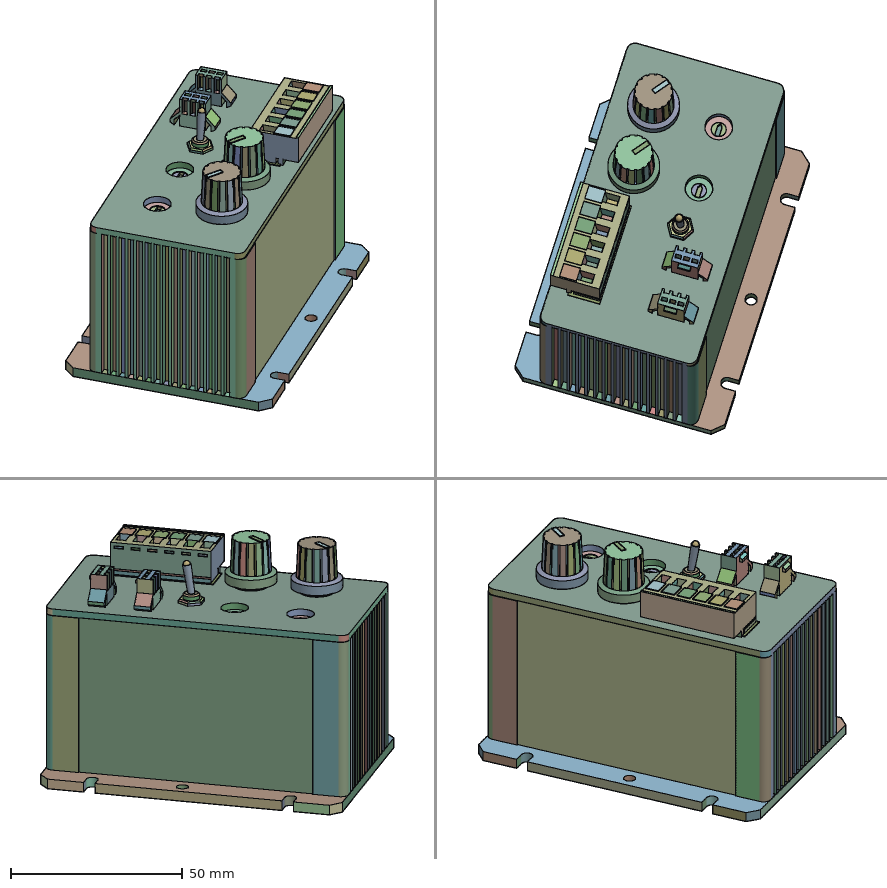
import cadquery as cq
import math

PLATE_X = 64.0
PLATE_Y = 91.3
PLATE_T = 3.0
PLATE_CORNER_X = 3.3
PLATE_CORNER_Y = 3.0
TOTAL_Z = 68.3

SLOT_W = 3.5
SLOT_DEPTH = 4.9
SLOT_Y = 30.0
PLATE_HOLE_D = SLOT_W
PLATE_HOLE_X = 28.0
PLATE_HOLE_Y = 2.9

CASE_X = 48.3
CASE_Y = 91.5
CASE_H = 47.95
CASE_CORNER_R = 2.5
LID_X = 47.8
LID_T = 2.0
SIDE_PANEL_Y = 70.8
SIDE_PANEL_SETBACK = 0.4

FIN_GROOVES = 15
FIN_GROOVE_SPAN = 37.8
FIN_PITCH = FIN_GROOVE_SPAN / (FIN_GROOVES - 1)
FIN_GROOVE_W = 1.8
FIN_GROOVE_DEPTH = 2.3

LID_Z = PLATE_T + CASE_H
TOP = LID_Z + LID_T


def box(x0, x1, y0, y1, z0, z1):
    """Axis-aligned block between opposite corners."""
    return cq.Workplane("XY").box(x1 - x0, y1 - y0, z1 - z0, centered=False).translate((x0, y0, z0))


def mounting_plate():
    hx = PLATE_X / 2
    hy = PLATE_Y / 2
    corner_x = hx - PLATE_CORNER_X
    corner_y = hy - PLATE_CORNER_Y
    outline = [
        (-corner_x, -hy), (corner_x, -hy), (hx, -corner_y), (hx, corner_y),
        (corner_x, hy), (-corner_x, hy), (-hx, corner_y), (-hx, -corner_y),
    ]
    plate = cq.Workplane("XY").polyline(outline).close().extrude(PLATE_T)
    slot_centers = [(sx * hx, sy * SLOT_Y) for sx in (-1, 1) for sy in (-1, 1)]
    slots = cq.Workplane("XY").pushPoints(slot_centers).slot2D(2 * SLOT_DEPTH, SLOT_W).extrude(PLATE_T)
    hole_centers = [(-PLATE_HOLE_X, PLATE_HOLE_Y), (PLATE_HOLE_X, PLATE_HOLE_Y)]
    holes = cq.Workplane("XY").pushPoints(hole_centers).circle(PLATE_HOLE_D / 2).extrude(PLATE_T)
    return plate.cut(slots).cut(holes)


def rounded_block(size_x, size_y, height, z):
    block = cq.Workplane("XY").box(size_x, size_y, height, centered=(True, True, False))
    return block.edges("|Z").fillet(CASE_CORNER_R).translate((0, 0, z))


def case_body():
    case = rounded_block(CASE_X, CASE_Y, CASE_H, PLATE_T)
    for sign in (-1, 1):
        center = (sign * (CASE_X - SIDE_PANEL_SETBACK) / 2, 0, PLATE_T + CASE_H / 2)
        case = case.cut(cq.Workplane("XY").box(SIDE_PANEL_SETBACK, SIDE_PANEL_Y, CASE_H).translate(center))
    first_x = -FIN_GROOVE_SPAN / 2
    centers = [
        (first_x + i * FIN_PITCH, sign * CASE_Y / 2)
        for i in range(FIN_GROOVES)
        for sign in (-1, 1)
    ]
    grooves = cq.Workplane("XY").pushPoints(centers).rect(FIN_GROOVE_W, 2 * FIN_GROOVE_DEPTH).extrude(CASE_H)
    return case.cut(grooves.translate((0, 0, PLATE_T)))


SELECTOR_X = -8.9
SELECTOR_YS = (-7.7, -27.6)
SELECTOR_HOLE_R = 4.0
DIAL_R = 2.2
DIAL_DEPTH = 0.3
ARROW_W = 1.4
ARROW_TAIL = 2.0
ARROW_SHOULDER = 1.1
ARROW_TIP = 2.0
ARROW_DEPTH = 0.9


def selector_cutter():
    """Lid hole, dial recess and arrow-shaped driver slot, with the hole floor at z = 0."""
    hole = cq.Workplane("XY").circle(SELECTOR_HOLE_R).extrude(LID_T)
    dial = cq.Workplane("XY").circle(DIAL_R).extrude(-DIAL_DEPTH)
    arrow_outline = [
        (-ARROW_W / 2, ARROW_TAIL), (ARROW_W / 2, ARROW_TAIL),
        (ARROW_W / 2, -ARROW_SHOULDER), (0, -ARROW_TIP), (-ARROW_W / 2, -ARROW_SHOULDER),
    ]
    arrow = cq.Workplane("XY").polyline(arrow_outline).close().extrude(-DIAL_DEPTH - ARROW_DEPTH)
    return hole.union(dial).union(arrow)


KNOB_X = 10.9
KNOB_YS = (-7.2, -27.2)
KNOB_WASHER_R = 5.0
KNOB_WASHER_T = 0.2
KNOB_NECK_R = 4.8
KNOB_SKIRT_R = 7.6
KNOB_SKIRT_Z = TOP + 1.5
KNOB_SKIRT_T = 2.8
KNOB_SKIRT_SLOPE = 0.55
KNOB_BASE_R = 6.0
KNOB_TOP_R = 5.6
KNOB_GROOVES = 15
KNOB_GROOVE_W = 0.55
KNOB_GROOVE_START = 184
KNOB_GROOVE_FLOOR_R = 5.3
POINTER_W = 1.5
POINTER_T = 0.3
POINTER_LENGTH = 5.3
POINTER_ANGLE = 233


def knob(y):
    skirt_top = KNOB_SKIRT_Z + KNOB_SKIRT_T
    grip_z = skirt_top + KNOB_SKIRT_SLOPE
    cap_z = TOTAL_Z - POINTER_T
    half_profile = [
        (0, TOP), (KNOB_WASHER_R, TOP), (KNOB_WASHER_R, TOP + KNOB_WASHER_T),
        (KNOB_NECK_R, TOP + KNOB_WASHER_T), (KNOB_NECK_R, KNOB_SKIRT_Z),
        (KNOB_SKIRT_R, KNOB_SKIRT_Z), (KNOB_SKIRT_R, skirt_top),
        (KNOB_BASE_R, grip_z), (KNOB_TOP_R, cap_z), (0, cap_z),
    ]
    body = cq.Workplane("XZ").polyline(half_profile).close().revolve(360, (0, 0, 0), (0, 1, 0))
    for i in range(KNOB_GROOVES):
        groove = box(KNOB_GROOVE_FLOOR_R, KNOB_SKIRT_R, -KNOB_GROOVE_W / 2, KNOB_GROOVE_W / 2, grip_z, cap_z)
        body = body.cut(groove.rotate((0, 0, 0), (0, 0, 1), KNOB_GROOVE_START + i * 360 / KNOB_GROOVES))
    pointer = box(0, POINTER_LENGTH, -POINTER_W / 2, POINTER_W / 2, cap_z, TOTAL_Z)
    body = body.union(pointer.rotate((0, 0, 0), (0, 0, 1), POINTER_ANGLE))
    return body.translate((KNOB_X, y, 0))


SWITCH_X = -7.3
SWITCH_Y = 5.9
NUT_FLATS = 6.95
NUT_T = 1.2
NUT_CHAMFER = 0.5
BUSHING_R = 2.5
BUSHING_H = 2.8
BUSHING_CHAMFER = 0.5
LEVER_BASE_R = 1.0
LEVER_TIP_R = 1.3
LEVER_LENGTH = 9.9
LEVER_SUNK = 0.9
LEVER_DOME_R = 1.1
LEVER_TILT = 9


def toggle_switch():
    nut = cq.Workplane("XY").polygon(6, NUT_FLATS / math.cos(math.pi / 6)).extrude(NUT_T)
    nut = nut.faces(">Z").chamfer(NUT_CHAMFER)
    bushing = cq.Workplane("XY").circle(BUSHING_R).extrude(BUSHING_H).faces(">Z").chamfer(BUSHING_CHAMFER)
    shoulder = LEVER_LENGTH - LEVER_DOME_R
    half_profile = cq.Workplane("XZ").moveTo(0, -LEVER_SUNK).lineTo(LEVER_BASE_R, -LEVER_SUNK)
    half_profile = half_profile.lineTo(LEVER_TIP_R, shoulder).lineTo(LEVER_DOME_R, shoulder)
    half_profile = half_profile.radiusArc((0, LEVER_LENGTH), -LEVER_DOME_R).close()
    lever = half_profile.revolve(360, (0, 0, 0), (0, 1, 0))
    lever = lever.rotate((0, 0, 0), (1, 0, 0), -LEVER_TILT).translate((0, 0, BUSHING_H))
    return nut.union(bushing).union(lever).translate((SWITCH_X, SWITCH_Y, TOP))


PLUG_X = -12.8
PLUG_YS = (31.3, 17.3)
PLUG_SIZE_X = 8.05
PLUG_SIZE_Y = 4.9
PLUG_H = 9.2
PIN_SPAN = 5.0
PIN_PITCH = PIN_SPAN / 2
PIN_SOCKET_X = 1.7
PIN_SOCKET_Y = 1.1
PIN_SOCKET_OFFSET_Y = 0.6
PIN_SOCKET_DEPTH = 2.7
CLIP_SLOT_W = 1.65
CLIP_SLOT_DEPTH = 1.1
CLIP_SLOT_FLOOR = 4.3
CLIP_WINDOW_W = 0.8
CLIP_WINDOW_DEPTH = 1.65
CLIP_WINDOW_TOP = 8.2
WING_REACH = 2.9
WING_ROOT_Z = 4.85
WING_BEND_Z = 1.8
WING_T = 1.3
WING_FOOT_Z = 0.8
LATCH_W = 3.75
LATCH_REACH = 0.9
LATCH_BOTTOM = 6.95
LATCH_EDGE_TOP = 7.8
LATCH_ROOT_TOP = 8.6


def signal_connector(y):
    hx = PLUG_SIZE_X / 2
    hy = PLUG_SIZE_Y / 2
    plug = box(-hx, hx, -hy, hy, 0, PLUG_H)
    for i in (-1, 0, 1):
        x = i * PIN_PITCH
        socket = cq.Workplane("XY").box(PIN_SOCKET_X, PIN_SOCKET_Y, 2 * PIN_SOCKET_DEPTH)
        plug = plug.cut(socket.translate((x, PIN_SOCKET_OFFSET_Y, PLUG_H)))
        slot_half = CLIP_SLOT_W / 2
        window_half = CLIP_WINDOW_W / 2
        slot_back = -hy + CLIP_SLOT_DEPTH
        window_back = -hy + CLIP_WINDOW_DEPTH
        plug = plug.cut(box(x - slot_half, x + slot_half, -hy, slot_back, CLIP_SLOT_FLOOR, PLUG_H))
        plug = plug.cut(box(x - window_half, x + window_half, -hy, window_back, CLIP_SLOT_FLOOR, CLIP_WINDOW_TOP))
    outer_x = hx + WING_REACH
    inner_x = outer_x - WING_T
    wing_outline = [
        (hx, WING_ROOT_Z), (outer_x, WING_BEND_Z), (outer_x, WING_FOOT_Z),
        (inner_x, 0), (inner_x, WING_BEND_Z), (hx, WING_ROOT_Z - WING_T),
    ]
    wing = cq.Workplane("XZ").polyline(wing_outline).close().extrude(hy, both=True)
    plug = plug.union(wing).union(wing.mirror("YZ"))
    latch_outline = [
        (hy, LATCH_BOTTOM), (hy + LATCH_REACH, LATCH_BOTTOM),
        (hy + LATCH_REACH, LATCH_EDGE_TOP), (hy, LATCH_ROOT_TOP),
    ]
    plug = plug.union(cq.Workplane("YZ").polyline(latch_outline).close().extrude(LATCH_W / 2, both=True))
    return plug.translate((PLUG_X, y, TOP))


BLOCK_X0 = 8.7
BLOCK_X1 = 23.6
BLOCK_Y0 = 4.3
BLOCK_Y1 = 34.7
BLOCK_BOTTOM = TOP + 2.0
BLOCK_TOP = TOP + 10.2
RAISED_T = 0.3
WAYS = 6
WAY_SPAN = 25.4
WAY_PITCH = WAY_SPAN / (WAYS - 1)
HEADER_FLANGE_X0 = 8.3
HEADER_FLANGE_X1 = 18.1
HEADER_FLANGE_OVERHANG = 0.8
HEADER_FLANGE_T = 0.3
HEADER_WALL_X1 = 16.65
HEADER_WALL_H = 1.5
HEADER_NECK_INSET = 0.1
HEADER_LEG_X0 = 17.3
HEADER_LEG_X1 = 18.8
ENTRY_X0 = 11.3
ENTRY_X1 = 15.8
ENTRY_W = 2.9
ENTRY_DEPTH = 4.6
ENTRY_TAPER_X = 0.6
BUTTON_X1 = 20.95
BUTTON_W = 4.2
EDGE_STRIP_X0 = 22.8
TEST_SLOT_W = 2.7
TEST_SLOT_H = 0.7
TEST_SLOT_Z = TOP + 8.7
TEST_SLOT_DEPTH = 0.5


def terminal_block():
    block = box(BLOCK_X0, BLOCK_X1, BLOCK_Y0, BLOCK_Y1, BLOCK_BOTTOM, BLOCK_TOP)
    wall_top = TOP + HEADER_WALL_H
    neck_y1 = BLOCK_Y1 - HEADER_NECK_INSET
    flange_y0 = BLOCK_Y0 - HEADER_FLANGE_OVERHANG
    flange_y1 = BLOCK_Y1 + HEADER_FLANGE_OVERHANG
    neck_x0 = BLOCK_X0 + HEADER_NECK_INSET
    header_parts = [
        box(HEADER_FLANGE_X0, HEADER_FLANGE_X1, flange_y0, flange_y1, TOP, TOP + HEADER_FLANGE_T),
        box(BLOCK_X0, HEADER_WALL_X1, BLOCK_Y0, BLOCK_Y1, TOP, wall_top),
        box(neck_x0, HEADER_WALL_X1, BLOCK_Y0, neck_y1, wall_top, BLOCK_BOTTOM),
        box(HEADER_LEG_X0, HEADER_LEG_X1, BLOCK_Y0, BLOCK_Y1, TOP, BLOCK_BOTTOM),
        box(EDGE_STRIP_X0, BLOCK_X1, BLOCK_Y0, BLOCK_Y1, BLOCK_TOP, BLOCK_TOP + RAISED_T),
    ]
    for piece in header_parts:
        block = block.union(piece)

    first_y = (BLOCK_Y0 + BLOCK_Y1 - WAY_SPAN) / 2
    entry_x = (ENTRY_X0 + ENTRY_X1) / 2
    entry_length = ENTRY_X1 - ENTRY_X0
    for i in range(WAYS):
        y = first_y + i * WAY_PITCH
        entry = cq.Workplane("XY", origin=(entry_x, y, BLOCK_TOP)).rect(entry_length, ENTRY_W)
        entry = entry.workplane(offset=-ENTRY_DEPTH).rect(entry_length - 2 * ENTRY_TAPER_X, ENTRY_W)
        block = block.cut(entry.loft(ruled=True))
        button_y0 = y - BUTTON_W / 2
        button_y1 = y + BUTTON_W / 2
        block = block.union(box(ENTRY_X1, BUTTON_X1, button_y0, button_y1, BLOCK_TOP, BLOCK_TOP + RAISED_T))
        slot = cq.Workplane("XY").box(2 * TEST_SLOT_DEPTH, TEST_SLOT_W, TEST_SLOT_H)
        block = block.cut(slot.translate((BLOCK_X0, y, TEST_SLOT_Z)))
    return block


result = mounting_plate().union(case_body()).union(rounded_block(LID_X, CASE_Y, LID_T, LID_Z))
for selector_y in SELECTOR_YS:
    result = result.cut(selector_cutter().translate((SELECTOR_X, selector_y, LID_Z)))
for knob_y in KNOB_YS:
    result = result.union(knob(knob_y))
for plug_y in PLUG_YS:
    result = result.union(signal_connector(plug_y))
result = result.union(toggle_switch()).union(terminal_block())